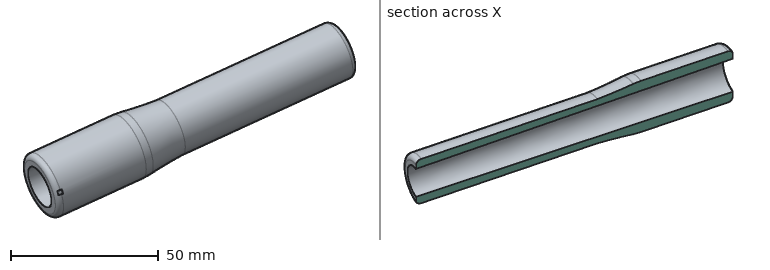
import cadquery as cq
import math

length = 120.0
grip_radius = 23.8 / 2
shank_radius = 20.6 / 2
edge_radius = 2.0

front_y = -length / 2
back_y = front_y + length
blend_front_y = front_y + 34.9
neck_front_y = front_y + 37.8
neck_back_y = front_y + 51.4

blend_radius = 20.0
blend_angle = math.asin((neck_front_y - blend_front_y) / blend_radius)
neck_front_radius = grip_radius - blend_radius * (1 - math.cos(blend_angle))

bore_front_radius = 15.0 / 2
bore_back_radius = 12.7 / 2

notch_angle = 30.0
notch_width = 1.6
notch_length = 1.7
notch_depth = 0.3
notch_front_y = front_y + 1.0


def revolve_about_y(outline):
    return outline.close().revolve(360, (0, 0, 0), (0, 1, 0))


def outer_body():
    """Grip, rounded blend, slightly concave neck and shank, with rounded end edges."""
    outline = (
        cq.Workplane("XY")
        .moveTo(0, front_y)
        .lineTo(grip_radius, front_y)
        .lineTo(grip_radius, blend_front_y)
        .tangentArcPoint((neck_front_radius, neck_front_y), relative=False)
        .tangentArcPoint((shank_radius, neck_back_y), relative=False)
        .lineTo(shank_radius, back_y)
        .lineTo(0, back_y)
    )
    body = revolve_about_y(outline)
    return body.faces("<Y or >Y").edges().fillet(edge_radius)


def tapered_bore():
    outline = (
        cq.Workplane("XY")
        .moveTo(0, front_y)
        .lineTo(bore_front_radius, front_y)
        .lineTo(bore_back_radius, back_y)
        .lineTo(0, back_y)
    )
    return revolve_about_y(outline)


def rim_notch():
    """Block centred on the grip surface, so half its thickness cuts into the grip."""
    block = cq.Workplane("XY").box(
        2 * notch_depth, notch_length, notch_width, centered=(True, False, True)
    )
    block = block.translate((grip_radius, notch_front_y, 0))
    return block.rotate((0, 0, 0), (0, 1, 0), -notch_angle)


result = outer_body().cut(tapered_bore()).cut(rim_notch())